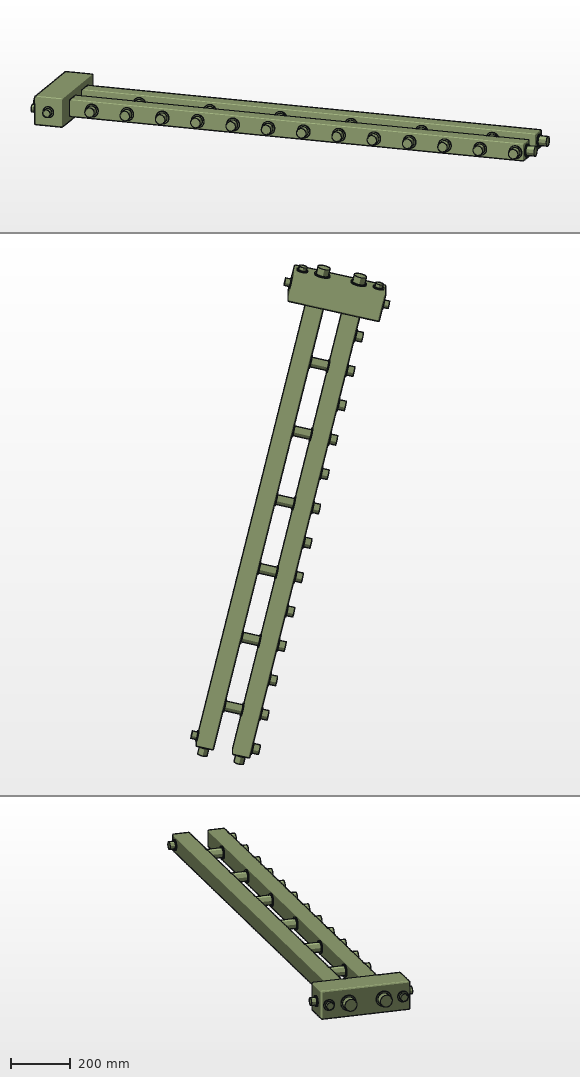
import cadquery as cq


total_length = 1770.0
total_width = 358.0

header_side = 101.0
header_length = 315.0
header_round = 5.0

outlet_count = 13
outlet_row_length = 1500.0
outlet_end_distance = 28.0
pitch = outlet_row_length / (outlet_count - 1)

tube_side = 60.0
tube_round = 4.5
tube_offset = pitch / 2

main_diameter = 42.0
main_length = 28.0
outlet_diameter = 34.0
outlet_length = 27.0
end_stub_length = 32.0
vent_diameter = 27.0
vent_length = (total_width - header_length) / 2
sensor_length = 16.0
sensor_offset = 131.0

collar_margin = 5.0
collar_thickness = 4.0
root_overlap = 2.0

link_start = 1
link_step = 2

header_left = -total_length / 2 + main_length
header_right = header_left + header_side
header_center = header_left + header_side / 2
tube_end = total_length / 2 - end_stub_length
last_outlet = tube_end - outlet_end_distance
outlet_places = [last_outlet - pitch * i for i in reversed(range(outlet_count))]
link_places = outlet_places[link_start::link_step]


def cylinder(root, direction, diameter, length):
    """Cylinder standing on a wall point, reaching slightly into the wall."""
    axis = cq.Vector(*direction)
    start = cq.Vector(*root) - axis * root_overlap
    return cq.Workplane(cq.Solid.makeCylinder(diameter / 2, length + root_overlap, start, axis))


def collar(root, direction, diameter):
    """Weld collar around the root of a pipe."""
    return cylinder(root, direction, diameter + 2 * collar_margin, collar_thickness)


def stub(root, direction, diameter, length):
    """Pipe stub with its weld collar."""
    return cylinder(root, direction, diameter, length).union(collar(root, direction, diameter))


def header():
    """Header block with main, sensor and vent stubs."""
    body = cq.Workplane().box(header_side, header_length, header_side).edges().fillet(header_round)
    body = body.translate((header_center, 0, 0))
    for side in (-1, 1):
        body = body.union(stub((header_left, side * tube_offset, 0), (-1, 0, 0), main_diameter, main_length))
        body = body.union(stub((header_left, side * sensor_offset, 0), (-1, 0, 0), vent_diameter, sensor_length))
        end_face = side * header_length / 2
        body = body.union(stub((header_center, end_face, 0), (0, side, 0), vent_diameter, vent_length))
    return body


def tube(y):
    """Square tube from the header to its closed end, with the end stub."""
    length = tube_end - header_right
    body = cq.Workplane().box(length, tube_side, tube_side).edges().fillet(tube_round)
    body = body.translate((tube_end - length / 2, y, 0))
    return body.union(stub((tube_end, y, 0), (1, 0, 0), outlet_diameter, end_stub_length))


def link(x):
    """Pipe joining the two tubes, with a weld collar at each end."""
    gap = pitch - tube_side
    front_root = (x, -gap / 2, 0)
    rear_root = (x, gap / 2, 0)
    body = stub(front_root, (0, 1, 0), outlet_diameter, gap + root_overlap)
    return body.union(collar(rear_root, (0, -1, 0), outlet_diameter))


front_wall = -tube_offset - tube_side / 2
rear_wall = tube_offset + tube_side / 2

result = header().union(tube(-tube_offset)).union(tube(tube_offset))
for x in outlet_places:
    result = result.union(stub((x, front_wall, 0), (0, -1, 0), outlet_diameter, outlet_length))
for x in link_places:
    result = result.union(link(x))
result = result.union(stub((last_outlet, rear_wall, 0), (0, 1, 0), vent_diameter, vent_length))